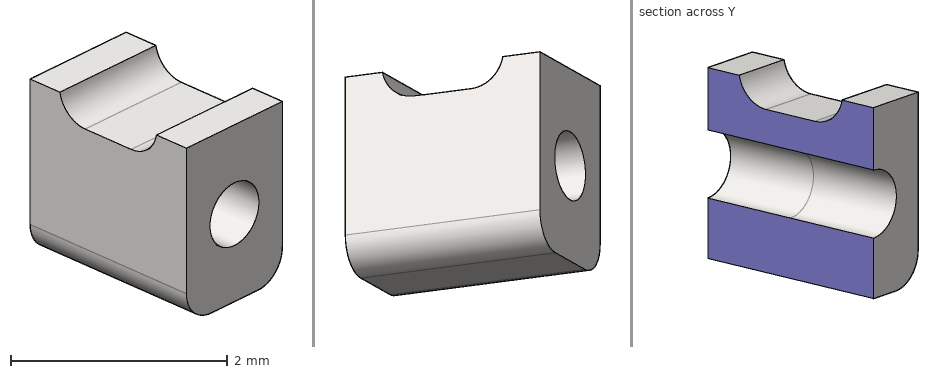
import cadquery as cq
import math

length = 2
width = 1.29
height = 1.85
bottom_radius = 0.33

hole_diameter = 0.655
hole_height = 0.915

groove_depth = 0.268
groove_floor_width = 0.588
groove_side_radius = 0.33


def rounded_block():
    """Block standing on Z = 0, with its two long bottom edges rounded."""
    block = cq.Workplane("XY").box(length, width, height, centered=(True, True, False))
    return block.edges("|X and <Z").fillet(bottom_radius)


def groove_cutter():
    """Groove section whose side arcs start tangent to the floor and end at the top face."""
    floor_half = groove_floor_width / 2
    floor_height = height - groove_depth
    axis_height = floor_height + groove_side_radius

    end_angle = math.acos((groove_side_radius - groove_depth) / groove_side_radius)
    top_half = floor_half + groove_side_radius * math.sin(end_angle)
    arc_middle_half = floor_half + groove_side_radius * math.sin(end_angle / 2)
    arc_middle_height = axis_height - groove_side_radius * math.cos(end_angle / 2)

    return (
        cq.Workplane("XZ")
        .moveTo(-top_half, height)
        .threePointArc((-arc_middle_half, arc_middle_height), (-floor_half, floor_height))
        .lineTo(floor_half, floor_height)
        .threePointArc((arc_middle_half, arc_middle_height), (top_half, height))
        .close()
        .extrude(width / 2, both=True)
    )


def hole_cutter():
    """Cylinder along X through both end faces."""
    return (
        cq.Workplane("YZ")
        .center(0, hole_height)
        .circle(hole_diameter / 2)
        .extrude(length / 2, both=True)
    )


result = rounded_block().cut(groove_cutter()).cut(hole_cutter())